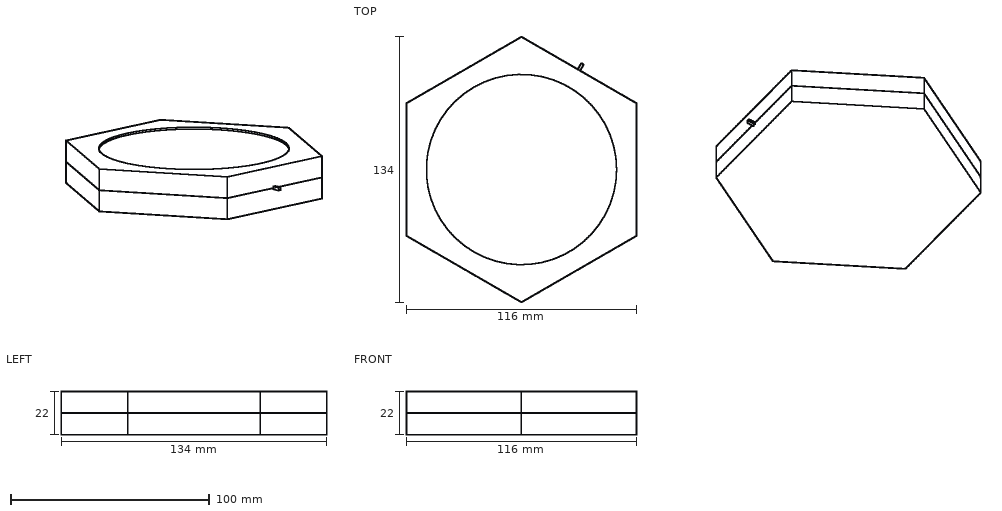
import cadquery as cq
import math

corner_diameter = 134.0
overall_height = 22.0
seam_gap = 0.1
half_height = (overall_height - seam_gap) / 2
top_z = overall_height / 2
apothem = corner_diameter / 2 * math.cos(math.pi / 6)

disc_diameter = 96.0
disc_thickness = 2.0
disc_setback = 1.0
disc_top_z = top_z - disc_setback
disc_bottom_z = disc_top_z - disc_thickness

lever_side_angle = 60.0
lever_width = 1.5
lever_reach = 3.6
lever_depth = 4.0


def hexagon_plate(bottom_z):
    """One housing half: a hexagonal plate with two corners on the Y axis."""
    return (
        cq.Workplane("XY", origin=(0, 0, bottom_z))
        .polygon(6, corner_diameter)
        .extrude(half_height)
        .rotate((0, 0, 0), (0, 0, 1), 30)
    )


def round_plate(bottom_z, upper_z):
    """A cylinder of the disc diameter between two heights."""
    return (
        cq.Workplane("XY", origin=(0, 0, bottom_z))
        .circle(disc_diameter / 2)
        .extrude(upper_z - bottom_z)
    )


def switch_lever():
    """Square lever seated in the housing and pointing straight out of its side."""
    return (
        cq.Workplane("YZ", origin=(apothem - lever_depth, 0, 0))
        .rect(lever_width, lever_width)
        .extrude(lever_depth + lever_reach)
        .rotate((0, 0, 0), (0, 0, 1), lever_side_angle)
    )


lever = switch_lever()
cover_disc = round_plate(disc_bottom_z, disc_top_z)
disc_recess = round_plate(disc_bottom_z, top_z)

lower_housing = hexagon_plate(-top_z).cut(lever)
upper_housing = hexagon_plate(seam_gap / 2).cut(lever).cut(disc_recess)

result = cq.Compound.makeCompound(
    [lower_housing.val(), upper_housing.val(), cover_disc.val(), lever.val()]
)